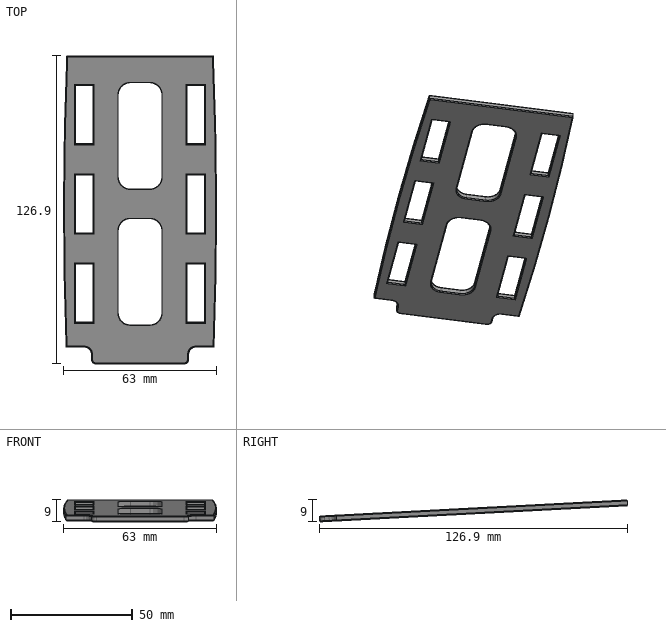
import cadquery as cq

THICKNESS = 2.4
BODY_LENGTH = 120.0
MAX_WIDTH = 63.02
SIDE_RADIUS = 1500.0
EDGE_CHAMFER = 0.4
CHAMFER_ANGLE = 45.0
TILT_ANGLE = 3.0

TAB_WIDTH = 40.0
TAB_LENGTH = 7.0
TAB_CORNER_RADIUS = 2.0
TAB_ROOT_RADIUS = 3.0

WIDEST_Y = -TAB_LENGTH / 2

OPENING_CENTER_Y = -1.0
OPENING_GAP = 12.0

SLOT_WIDTH = 18.0
SLOT_LENGTH = 44.0
SLOT_CORNER_RADIUS = 5.0
SLOT_PITCH = SLOT_LENGTH + OPENING_GAP

WINDOW_WIDTH = 7.2
WINDOW_LENGTH = 24.0
WINDOW_RIM_WIDTH = WINDOW_WIDTH + 2 * EDGE_CHAMFER
WINDOW_RIM_LENGTH = WINDOW_LENGTH + 2 * EDGE_CHAMFER
WINDOW_PITCH = WINDOW_RIM_LENGTH + OPENING_GAP
WINDOW_COLUMN_SPACING = 46.0


def half_width_at(y):
    """Distance from the centre line to the bowed side at position y."""
    sagitta = SIDE_RADIUS - (SIDE_RADIUS**2 - (y - WIDEST_Y) ** 2) ** 0.5
    return MAX_WIDTH / 2 - sagitta


def make_plate():
    """Bowed plate with a rounded tab; both outer rims are chamfered."""
    half_length = BODY_LENGTH / 2
    half_back = half_width_at(half_length)
    half_shoulder = half_width_at(-half_length)
    half_max = MAX_WIDTH / 2
    half_tab = TAB_WIDTH / 2
    tab_end_y = -half_length - TAB_LENGTH

    plate = (
        cq.Workplane("XY")
        .workplane(offset=-THICKNESS / 2)
        .moveTo(-half_back, half_length)
        .lineTo(half_back, half_length)
        .threePointArc((half_max, WIDEST_Y), (half_shoulder, -half_length))
        .lineTo(half_tab, -half_length)
        .lineTo(half_tab, tab_end_y)
        .lineTo(-half_tab, tab_end_y)
        .lineTo(-half_tab, -half_length)
        .lineTo(-half_shoulder, -half_length)
        .threePointArc((-half_max, WIDEST_Y), (-half_back, half_length))
        .close()
        .extrude(THICKNESS)
    )
    for side in (-1, 1):
        root = cq.selectors.NearestToPointSelector((side * half_tab, -half_length, 0))
        plate = plate.edges("|Z").edges(root).fillet(TAB_ROOT_RADIUS)
        corner = cq.selectors.NearestToPointSelector((side * half_tab, tab_end_y, 0))
        plate = plate.edges("|Z").edges(corner).fillet(TAB_CORNER_RADIUS)
    return plate.faces("<Z or >Z").edges().chamfer(EDGE_CHAMFER)


def window_layout(height):
    """Workplane at the given height holding the centres of the six windows."""
    return (
        cq.Workplane("XY")
        .workplane(offset=height)
        .center(0, OPENING_CENTER_Y)
        .rarray(WINDOW_COLUMN_SPACING, WINDOW_PITCH, 2, 3)
    )


def cut_slots(plate):
    """Cut the two rounded openings and chamfer their bottom rims."""
    cutters = (
        cq.Workplane("XY")
        .center(0, OPENING_CENTER_Y)
        .rarray(1, SLOT_PITCH, 1, 2)
        .rect(SLOT_WIDTH, SLOT_LENGTH)
        .extrude(THICKNESS, both=True)
        .edges("|Z")
        .fillet(SLOT_CORNER_RADIUS)
    )
    plate = plate.cut(cutters)
    bottom_rims = plate.faces("<Z").val().innerWires()
    return plate.newObject(bottom_rims).edges().chamfer(EDGE_CHAMFER)


def cut_windows(plate):
    """Cut the six windows and chamfer their top and bottom rims."""
    cutters = window_layout(-THICKNESS).rect(WINDOW_WIDTH, WINDOW_LENGTH).extrude(2 * THICKNESS)
    plate = plate.cut(cutters)
    for side in (-1, 1):
        rims = (
            window_layout(side * THICKNESS / 2)
            .rect(WINDOW_RIM_WIDTH, WINDOW_RIM_LENGTH)
            .extrude(-side * EDGE_CHAMFER, taper=CHAMFER_ANGLE)
        )
        plate = plate.cut(rims)
    return plate


plate = cut_windows(cut_slots(make_plate()))
result = plate.rotate((0, 0, 0), (1, 0, 0), TILT_ANGLE)